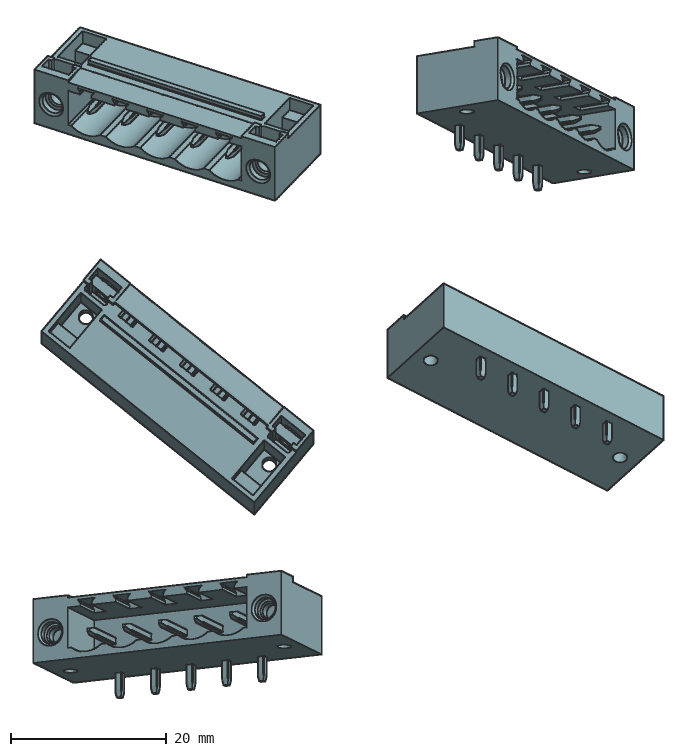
import cadquery as cq

LENGTH = 35.4
DEPTH = 12.0
FRONT_HEIGHT = 8.45
REAR_HEIGHT = 7.7
END_STEP_DEPTH = 3.5
BAR_DEPTH = 3.2
BAR_FLAT = 0.32
BAR_DROP = 0.32

PIN_COUNT = 5
PITCH = 5.08
PIN_Z = 3.8
PIN_WIDTH = 1.0
PIN_CHAMFER = 0.15
CONTACT_TIP_Y = 0.78
CONTACT_TIP_WIDTH = 0.35
CONTACT_TAPER = 1.27
LEG_Y = 10.0
LEG_LENGTH = 3.2
LEG_TIP_WIDTH = 0.6
LEG_TAPER = 0.95

CAVITY_WIDTH = 25.5
CAVITY_DEPTH = 7.8
CAVITY_FLOOR = 1.5
CAVITY_ROOF = 6.83
SCALLOP_WIDTH = 4.25
SCALLOP_DEPTH = 0.75

DOVETAIL_TOP = 2.37
DOVETAIL_BOTTOM = 1.7
DOVETAIL_FLARE = 0.45
DOVETAIL_DEPTH = 4.15

RIB_Y = 5.7
RIB_WIDTH = 0.75
RIB_FOOT = 0.1
RIB_HEIGHT = 0.6

FLANGE_X = (PIN_COUNT + 1) / 2 * PITCH
REAR_POCKET_WIDTH = 3.5
REAR_POCKET_FRONT = 4.9
REAR_POCKET_BACK = 11.4
SHELF_FRONT = 9.5
SHELF_Z = 5.8
MOUNT_HOLE_DIAMETER = 1.85
MOUNT_HOLE_Y = 6.0

NUT_WIDTH = 3.95
NUT_FRONT = 1.5
NUT_BACK = 2.85
NUT_BORE = 2.02
NUT_BORE_CHAMFER = 0.2
NUT_SLOT_FRONT = 1.15
NECK_WIDTH = 2.97
NUT_POCKET_BACK = 4.3
NUT_POCKET_FILLET = 0.25
POCKET_FLOOR = PIN_Z - NUT_WIDTH / 2
SCREW_HOLE_DIAMETER = 2.9
SCREW_HOLE_CHAMFER = 0.32

PIN_XS = [(i - (PIN_COUNT - 1) / 2) * PITCH for i in range(PIN_COUNT)]
FLANGE_XS = [-FLANGE_X, FLANGE_X]


def box(width, x, y_range, z_range):
    """Box centred on x, between two Y values and two Z values."""
    y0, y1 = y_range
    z0, z1 = z_range
    block = cq.Workplane("XY").box(width, y1 - y0, z1 - z0, centered=(True, False, False))
    return block.translate((x, y0, z0))


def front_plane(y):
    """Workplane at the given Y with local x = X, local y = Z and normal -Y."""
    return cq.Workplane("XZ", origin=(0, y, 0))


def side_profile(points, width):
    """Extrude a closed (Y, Z) outline symmetrically along X."""
    return cq.Workplane("YZ").polyline(points).close().extrude(width / 2, both=True)


def make_block():
    """Stepped block with its sloped front bar and the rear rib."""
    block = box(LENGTH, 0, (0, DEPTH), (0, REAR_HEIGHT))
    end_width = (LENGTH - CAVITY_WIDTH) / 2
    end_x = (LENGTH - end_width) / 2
    for x in (-end_x, end_x):
        block = block.union(box(end_width, x, (0, END_STEP_DEPTH), (REAR_HEIGHT, FRONT_HEIGHT)))
    bar = [
        (0, REAR_HEIGHT),
        (0, FRONT_HEIGHT - BAR_DROP),
        (BAR_DEPTH - BAR_FLAT, FRONT_HEIGHT),
        (BAR_DEPTH, FRONT_HEIGHT),
        (BAR_DEPTH, REAR_HEIGHT),
    ]
    rib_front = RIB_Y - RIB_WIDTH / 2
    rib_back = RIB_Y + RIB_WIDTH / 2
    rib = [
        (rib_front - RIB_FOOT, REAR_HEIGHT),
        (rib_front, REAR_HEIGHT + RIB_FOOT),
        (rib_front, REAR_HEIGHT + RIB_HEIGHT),
        (rib_back, REAR_HEIGHT + RIB_HEIGHT),
        (rib_back, REAR_HEIGHT + RIB_FOOT),
        (rib_back + RIB_FOOT, REAR_HEIGHT),
    ]
    return block.union(side_profile(bar, CAVITY_WIDTH)).union(side_profile(rib, CAVITY_WIDTH))


def make_cavity():
    """Mating cavity with one scooped floor trough under each contact."""
    half = CAVITY_WIDTH / 2
    outline = front_plane(0).moveTo(-half, CAVITY_ROOF).lineTo(-half, CAVITY_FLOOR)
    for x in PIN_XS:
        outline = outline.lineTo(x - SCALLOP_WIDTH / 2, CAVITY_FLOOR)
        outline = outline.threePointArc(
            (x, CAVITY_FLOOR - SCALLOP_DEPTH), (x + SCALLOP_WIDTH / 2, CAVITY_FLOOR)
        )
    outline = outline.lineTo(half, CAVITY_FLOOR).lineTo(half, CAVITY_ROOF).close()
    return outline.extrude(-CAVITY_DEPTH)


def make_dovetail(x):
    """Coding slot between the cavity roof and the underside of the bar."""
    flare_z = REAR_HEIGHT - DOVETAIL_FLARE
    outline = [
        (x - DOVETAIL_BOTTOM / 2, CAVITY_ROOF),
        (x - DOVETAIL_BOTTOM / 2, flare_z),
        (x - DOVETAIL_TOP / 2, REAR_HEIGHT),
        (x + DOVETAIL_TOP / 2, REAR_HEIGHT),
        (x + DOVETAIL_BOTTOM / 2, flare_z),
        (x + DOVETAIL_BOTTOM / 2, CAVITY_ROOF),
    ]
    return front_plane(0).polyline(outline).close().extrude(-DOVETAIL_DEPTH)


def make_rear_pocket(x):
    """Mounting pocket with a shelf at the back and a hole through its floor."""
    deep = box(REAR_POCKET_WIDTH, x, (REAR_POCKET_FRONT, SHELF_FRONT), (POCKET_FLOOR, FRONT_HEIGHT))
    shelf = box(REAR_POCKET_WIDTH, x, (SHELF_FRONT, REAR_POCKET_BACK), (SHELF_Z, FRONT_HEIGHT))
    hole = cq.Workplane("XY").center(x, MOUNT_HOLE_Y).circle(MOUNT_HOLE_DIAMETER / 2).extrude(FRONT_HEIGHT)
    return deep.union(shelf).union(hole)


def make_nut_pocket(x):
    """Nut slot, narrow neck, clearance behind it, and the countersunk screw hole."""
    heights = (POCKET_FLOOR, FRONT_HEIGHT)
    slot = box(NUT_WIDTH, x, (NUT_SLOT_FRONT, NUT_BACK), heights)
    neck = box(NECK_WIDTH, x, (NUT_BACK, END_STEP_DEPTH), heights)
    clearance = box(REAR_POCKET_WIDTH, x, (END_STEP_DEPTH, NUT_POCKET_BACK), heights)
    clearance = clearance.edges("|Z and >Y").fillet(NUT_POCKET_FILLET)
    radius = SCREW_HOLE_DIAMETER / 2
    hole = front_plane(0).center(x, PIN_Z).circle(radius).extrude(-NUT_SLOT_FRONT)
    flare = cq.Solid.makeCone(
        radius + SCREW_HOLE_CHAMFER, radius, SCREW_HOLE_CHAMFER, pnt=(x, 0, PIN_Z), dir=(0, 1, 0)
    )
    return slot.union(neck).union(clearance).union(hole).union(cq.Workplane(flare))


def make_nut(x):
    """Square flange nut with a chamfered through bore."""
    body = box(NUT_WIDTH, x, (NUT_FRONT, NUT_BACK), (POCKET_FLOOR, POCKET_FLOOR + NUT_WIDTH))
    bore = front_plane(NUT_FRONT).center(x, PIN_Z).circle(NUT_BORE / 2).extrude(NUT_FRONT - NUT_BACK)
    return body.cut(bore).faces("<Y").edges("%CIRCLE").chamfer(NUT_BORE_CHAMFER)


def make_bar(length, tip_width, taper):
    """Square bar along +Z with chamfered edges, tapering to its tip at z = 0."""
    bar = cq.Workplane("XY").rect(PIN_WIDTH, PIN_WIDTH).extrude(length).edges("|Z").chamfer(PIN_CHAMFER)
    envelope = (
        cq.Workplane("XY").rect(tip_width, tip_width)
        .workplane(offset=taper).rect(PIN_WIDTH, PIN_WIDTH).loft(ruled=True)
        .faces(">Z").wires().toPending().workplane().extrude(length - taper)
    )
    return bar.intersect(envelope)


def make_pin(x):
    """Right-angle contact: a horizontal bar in the cavity and a solder leg below."""
    half = PIN_WIDTH / 2
    contact = make_bar(LEG_Y + half - CONTACT_TIP_Y, CONTACT_TIP_WIDTH, CONTACT_TAPER)
    contact = contact.rotate((0, 0, 0), (1, 0, 0), -90).translate((x, CONTACT_TIP_Y, PIN_Z))
    leg = make_bar(LEG_LENGTH + PIN_Z + half, LEG_TIP_WIDTH, LEG_TAPER).translate((x, LEG_Y, -LEG_LENGTH))
    return contact.union(leg)


pins = [make_pin(x) for x in PIN_XS]
nuts = [make_nut(x) for x in FLANGE_XS]

housing = make_block().cut(make_cavity())
for x in PIN_XS:
    housing = housing.cut(make_dovetail(x))
for x in FLANGE_XS:
    housing = housing.cut(make_rear_pocket(x)).cut(make_nut_pocket(x))
for pin in pins:
    housing = housing.cut(pin)

result = cq.Compound.makeCompound(
    [housing.val()] + [pin.val() for pin in pins] + [nut.val() for nut in nuts]
)